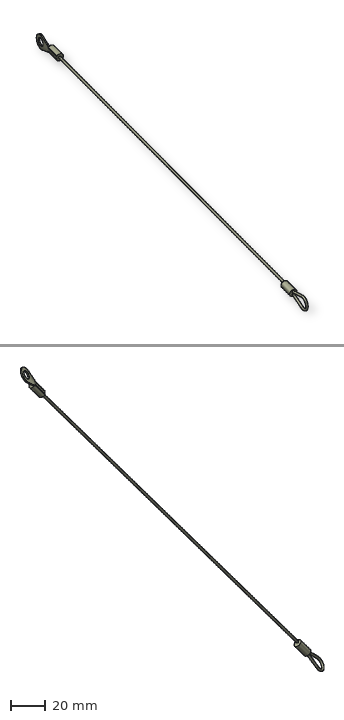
import cadquery as cq
import math

CABLE_DIAMETER = 1.6
EYE_TO_LOOP = 300.0

EYE_DIAMETER = 10.0
EYE_HOLE_DIAMETER = 5.4
PLATE_THICKNESS = 1.0
PLATE_FRONT_OFFSET = 2.0
NECK_WIDTH = 4.0
TONGUE_WIDTH = 2.0

SLEEVE_DIAMETER = 5.0
SLEEVE_LENGTH = 10.0
EYE_SLEEVE_START = 8.5
LOOP_SLEEVE_END = 285.3
FLAT_SETBACK = 0.1

LOOP_DIAMETER = 10.0
LOOP_DROP = 0.9

cable_radius = CABLE_DIAMETER / 2
sleeve_radius = SLEEVE_DIAMETER / 2
eye_radius = EYE_DIAMETER / 2
eye_sleeve_end = EYE_SLEEVE_START + SLEEVE_LENGTH
loop_sleeve_start = LOOP_SLEEVE_END - SLEEVE_LENGTH
plate_mid_y = PLATE_THICKNESS / 2 - PLATE_FRONT_OFFSET
loop_arc_radius = LOOP_DIAMETER / 2 - cable_radius
loop_centre_x = EYE_TO_LOOP + cable_radius - loop_arc_radius


def rod(start, end, z, diameter):
    """Round bar along X from start to end at height z."""
    return cq.Workplane("YZ", origin=(start, 0, z)).circle(diameter / 2).extrude(end - start)


def tangent_leg_angle(reach_x, offset, radius):
    """Angle from +X to the touch point of a line drawn to a circle about the origin.

    The line starts reach_x away along the X axis and offset above it.
    """
    return math.atan2(offset, reach_x) + math.acos(radius / math.hypot(reach_x, offset))


def eye_plate():
    """Flat ring terminal that tapers from the eye to the crimp sleeve."""
    half_neck = NECK_WIDTH / 2
    touch_angle = tangent_leg_angle(EYE_SLEEVE_START, half_neck, eye_radius)
    touch_x = eye_radius * math.cos(touch_angle)
    touch_z = eye_radius * math.sin(touch_angle)
    plane = cq.Workplane("XZ", origin=(0, -PLATE_FRONT_OFFSET, 0))
    outline = (
        plane.moveTo(EYE_SLEEVE_START, half_neck)
        .lineTo(touch_x, touch_z)
        .threePointArc((-eye_radius, 0), (touch_x, -touch_z))
        .lineTo(EYE_SLEEVE_START, -half_neck)
        .close()
        .extrude(-PLATE_THICKNESS)
    )
    return outline.cut(plane.circle(EYE_HOLE_DIAMETER / 2).extrude(-PLATE_THICKNESS))


def crimp_sleeve():
    """Round sleeve with a front flat, and the plate's tongue standing just proud of it."""
    middle_x = EYE_SLEEVE_START + SLEEVE_LENGTH / 2
    flat_y = FLAT_SETBACK - PLATE_FRONT_OFFSET
    waste = cq.Workplane("XY").box(SLEEVE_LENGTH, SLEEVE_DIAMETER, SLEEVE_DIAMETER)
    waste = waste.translate((middle_x, flat_y - sleeve_radius, 0))
    tongue = cq.Workplane("XY").box(SLEEVE_LENGTH, PLATE_THICKNESS, TONGUE_WIDTH)
    tongue = tongue.translate((middle_x, plate_mid_y, 0))
    return rod(EYE_SLEEVE_START, eye_sleeve_end, 0, SLEEVE_DIAMETER).cut(waste).union(tongue)


def cable_loop():
    """Teardrop of cable leaving the loop sleeve on two legs joined by a round end."""
    reach_x = loop_centre_x - LOOP_SLEEVE_END
    touch_angle = math.pi - tangent_leg_angle(reach_x, LOOP_DROP, loop_arc_radius)
    touch_x = loop_centre_x + loop_arc_radius * math.cos(touch_angle)
    touch_z = loop_arc_radius * math.sin(touch_angle)
    path = (
        cq.Workplane("XZ", origin=(0, 0, -LOOP_DROP))
        .moveTo(LOOP_SLEEVE_END, LOOP_DROP)
        .lineTo(touch_x, touch_z)
        .threePointArc((loop_centre_x + loop_arc_radius, 0), (touch_x, -touch_z))
        .lineTo(LOOP_SLEEVE_END, -LOOP_DROP)
    )
    section = cq.Workplane("YZ", origin=(LOOP_SLEEVE_END, 0, 0))
    return section.circle(cable_radius).sweep(path)


cable = rod(eye_sleeve_end, loop_sleeve_start, 0, CABLE_DIAMETER)
loop_sleeve = rod(loop_sleeve_start, LOOP_SLEEVE_END, -LOOP_DROP, SLEEVE_DIAMETER)

result = eye_plate().union(crimp_sleeve()).union(cable).union(loop_sleeve).union(cable_loop())